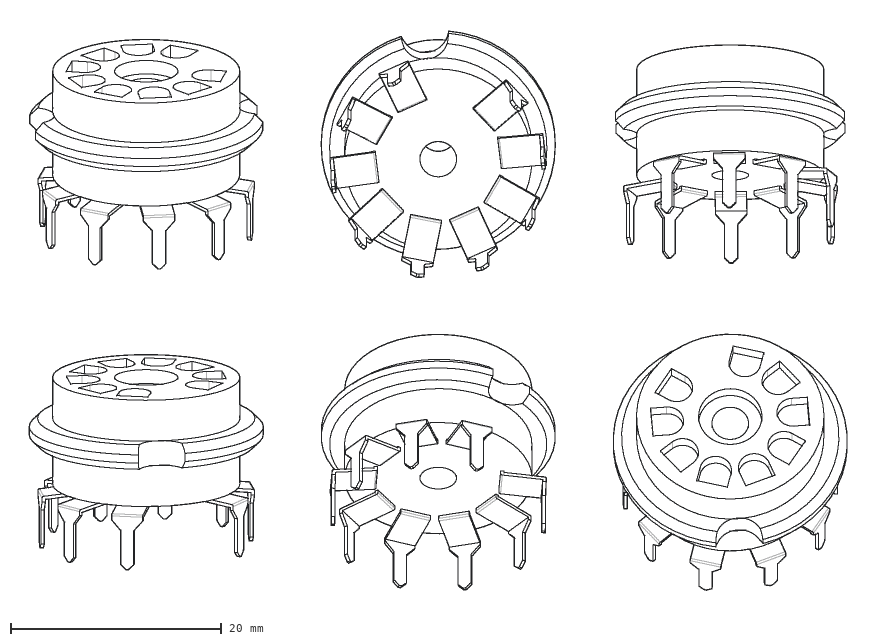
import cadquery as cq
import math


body_radius = 8.88
body_height = 10.4
flange_radius = 11.1
flange_bottom = 4.0
flange_height = 2.4
flange_chamfer = 0.8
bore_radius = 1.73
recess_radius = 3.0
recess_depth = 1.35

notch_radius = 2.25
notch_center_radius = 11.03

step_count = 10
step_angle = 360 / step_count
contact_angles = [90 + step_angle * step for step in range(1, step_count)]
first_notch_angle = 90 - step_angle / 2
notch_angles = [first_notch_angle, first_notch_angle + 180]

contact_radius = 5.95
contact_width = 3.0

pin_thickness = 0.33
pin_inner_radius = 5.84
pin_outer_radius = 10.17
pin_length = 5.9
arm_inner_drop = 0.15
arm_outer_drop = 0.53
bend_radius = 0.18
shoulder_drop = 1.09
shoulder_taper = 1.0
tail_width = 1.27
tip_taper = 0.5


def at_angle(shape, angle):
    """Turn a shape made along +X to its place around the axis."""
    return shape.rotate((0, 0, 0), (0, 0, 1), angle)


def make_flange():
    """Flange disc with both rims chamfered."""
    return (
        cq.Workplane("XY", origin=(0, 0, flange_bottom))
        .circle(flange_radius)
        .extrude(flange_height)
        .edges()
        .chamfer(flange_chamfer)
    )


def make_notch():
    """Round notch volume on +X, as tall as the flange and just grazing the body."""
    return (
        cq.Workplane("XY", origin=(notch_center_radius, 0, flange_bottom))
        .circle(notch_radius)
        .extrude(flange_height)
    )


def make_pocket():
    """D-shaped pocket volume on +X, with its round end toward the axis."""
    half_width = contact_width / 2
    flat_end = contact_radius + half_width
    round_end = contact_radius - half_width
    return (
        cq.Workplane("XY", origin=(0, 0, body_height - recess_depth))
        .moveTo(flat_end, -half_width)
        .lineTo(flat_end, half_width)
        .lineTo(contact_radius, half_width)
        .threePointArc((round_end, 0), (contact_radius, -half_width))
        .close()
        .extrude(recess_depth)
    )


def make_housing():
    """Cylindrical body with its notched flange, stepped center bore and nine pockets."""
    housing = cq.Workplane("XY").circle(body_radius).extrude(body_height).union(make_flange())
    housing = (
        housing.faces(">Z")
        .workplane()
        .cboreHole(2 * bore_radius, 2 * recess_radius, recess_depth)
    )
    notch = make_notch()
    for angle in notch_angles:
        housing = housing.cut(at_angle(notch, angle))
    pocket = make_pocket()
    for angle in contact_angles:
        housing = housing.cut(at_angle(pocket, angle))
    return housing


def make_bent_strip():
    """Full-width strip on +X: short root below the housing, sloping arm, then a vertical leg."""
    root_outer = pin_inner_radius + pin_thickness
    leg_inner = pin_outer_radius - pin_thickness
    slope = (arm_outer_drop - arm_inner_drop) / (pin_outer_radius - root_outer)
    arm_depth = pin_thickness * math.hypot(1, slope)

    def arm_top(radius):
        return -arm_inner_drop - slope * (radius - root_outer)

    strip = (
        cq.Workplane("XZ")
        .moveTo(pin_inner_radius, 0)
        .lineTo(root_outer, 0)
        .lineTo(root_outer, arm_top(root_outer))
        .lineTo(pin_outer_radius, arm_top(pin_outer_radius))
        .lineTo(pin_outer_radius, -pin_length)
        .lineTo(leg_inner, -pin_length)
        .lineTo(leg_inner, arm_top(leg_inner) - arm_depth)
        .lineTo(pin_inner_radius, arm_top(pin_inner_radius) - arm_depth)
        .close()
        .extrude(contact_width / 2, both=True)
    )
    outer_bend = cq.selectors.NearestToPointSelector((pin_outer_radius, 0, arm_top(pin_outer_radius)))
    root_bend = cq.selectors.NearestToPointSelector(
        (pin_inner_radius, 0, arm_top(pin_inner_radius) - arm_depth)
    )
    return strip.edges("|Y").edges(outer_bend + root_bend).fillet(bend_radius)


def make_leg_outline():
    """Prism along +X whose section narrows from the full width to a pointed tail."""
    half_width = contact_width / 2
    half_tail = tail_width / 2
    half_tip = half_tail - tip_taper
    right_side = [
        (half_width, 0),
        (half_width, -shoulder_drop),
        (half_tail, -shoulder_drop - shoulder_taper),
        (half_tail, tip_taper - pin_length),
        (half_tip, -pin_length),
    ]
    left_side = [(-y, z) for y, z in reversed(right_side)]
    return cq.Workplane("YZ").polyline(right_side + left_side).close().extrude(pin_outer_radius)


def make_pin():
    """One solder pin on +X."""
    return make_bent_strip().intersect(make_leg_outline())


housing = make_housing()
pin = make_pin()
pins = [at_angle(pin, angle) for angle in contact_angles]

result = cq.Compound.makeCompound([housing.val(), *[copy.val() for copy in pins]])